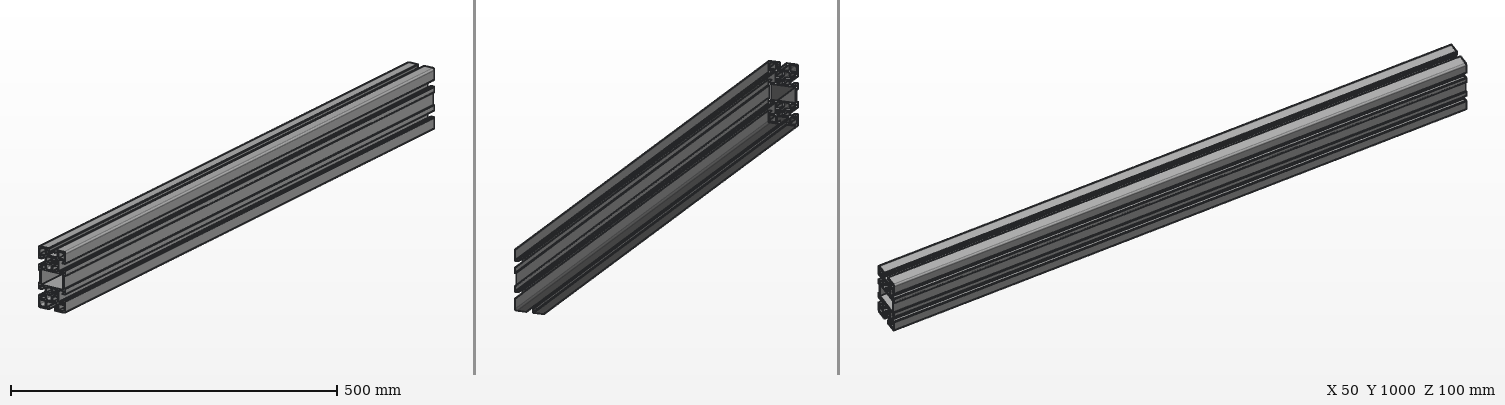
import cadquery as cq

length = 1000.0
width = 50.0
height = 2 * width
module_centre = width / 2
corner_radius = 3.0

slot_opening = 10.0
mouth_chamfer = 1.0
lip_tip_thickness = 6.0
lip_root_thickness = 2.5
slot_depth = 12.0
slot_inner_width = 20.0
slot_back_chamfer = 1.5

corner_wall = 2.5
corner_cavity = 10.0
corner_cavity_radius = 3.5

bore_diameter = 9.0
core_wall = 2.5
core_rib = 3.5
core_corner_radius = 3.0
core_hollow = width - 2 * (slot_depth + core_wall)

box_width = 40.0
box_height = 25.0
recess_depth = 2.0
recess_height = 21.0


def bar(x_size, z_size, x=0.0, z=0.0):
    """Rectangular bar along the full length, centred at (x, z)."""
    return cq.Workplane("XY").box(x_size, length, z_size).translate((x, 0, z))


def t_slot():
    """T-slot cutter that opens through the +Z face of a module centred on the Y axis."""
    face = width / 2
    mouth = slot_opening / 2
    inner = slot_inner_width / 2
    floor = face - slot_depth
    right_side = [
        (mouth + mouth_chamfer, face),
        (mouth, face - mouth_chamfer),
        (mouth, face - lip_tip_thickness),
        (inner, face - lip_root_thickness),
        (inner, floor + slot_back_chamfer),
        (inner - slot_back_chamfer, floor),
    ]
    left_side = [(-x, z) for x, z in reversed(right_side)]
    outline = cq.Workplane("XZ").polyline(right_side + left_side).close()
    return outline.extrude(length / 2, both=True)


def core_cutter():
    """Hollow of a module core: a rounded square minus the ribs, plus the screw bore."""
    hollow = bar(core_hollow, core_hollow).edges("|Y").fillet(core_corner_radius)
    hollow = hollow.cut(bar(core_rib, core_hollow)).cut(bar(core_hollow, core_rib))
    bore = cq.Workplane("XZ").circle(bore_diameter / 2).extrude(length / 2, both=True)
    return hollow.union(bore)


def corner_cutter(side):
    """Hollow of one outer corner, rounded only where it follows the outer corner."""
    offset = width / 2 - corner_wall - corner_cavity / 2
    cavity = bar(corner_cavity, corner_cavity, side * offset, offset)
    outer_edge = "|Y and >Z and >X" if side > 0 else "|Y and >Z and <X"
    return cavity.edges(outer_edge).fillet(corner_cavity_radius)


def module_cutters():
    """Cutters of one module centred on the Y axis, with its outer end toward +Z."""
    slots = [t_slot().rotate((0, 0, 0), (0, 1, 0), angle) for angle in (-90, 0, 90)]
    corners = [corner_cutter(side) for side in (-1, 1)]
    return [core_cutter()] + slots + corners


body = bar(width, height).edges("|Y").fillet(corner_radius)

for cutter in module_cutters():
    upper = cutter.translate((0, 0, module_centre))
    body = body.cut(upper).cut(upper.mirror("XY"))

body = body.cut(bar(box_width, box_height))
for side in (-1, 1):
    body = body.cut(bar(recess_depth, recess_height, side * (width - recess_depth) / 2))

result = body